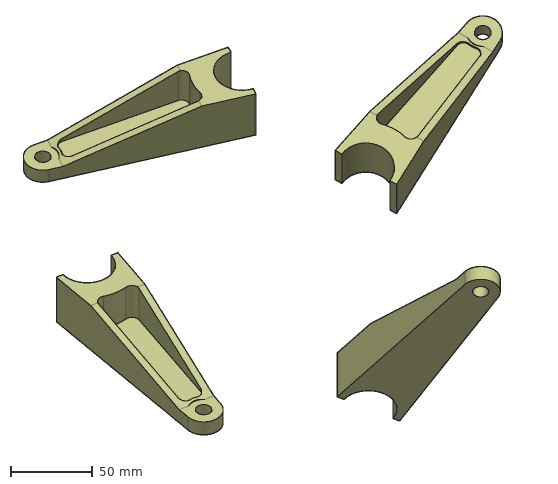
import cadquery as cq
import math

height = 35.0
lug_height = 10.3
lug_radius = 12.0
lug_hole_diameter = 10.0
saddle_bore_radius = 17.5
end_width = 44.88
part_length = 144.5
head_center_y = 0.8
slope_start = 35.0
slope_end = 124.3
wall = 5.0
pocket_floor = 10.0
pocket_saddle_wall = 15.0
pocket_lug_radius = 12.0
pocket_fillet = 5.0
lug_clearance_radius = 10.0

head_radius = math.hypot(end_width / 2, head_center_y)
lug_y = lug_radius - part_length
taper = math.asin((head_radius - lug_radius) / (head_center_y - lug_y))


def side_point(radius, center_y):
    """Point where the +X tapered side touches a circle on the part centreline."""
    return radius * math.cos(taper), center_y - radius * math.sin(taper)


def disc(radius, center_y, base=0.0):
    """Upright cylinder on the part centreline, from the base height up to the full height."""
    return cq.Workplane("XY", origin=(0, center_y, base)).circle(radius).extrude(height - base)


def tapered_prism(inset, base):
    """Straight-sided arm between the two round ends, inset from its sides."""
    wide_x, wide_y = side_point(head_radius - inset, head_center_y)
    narrow_x, narrow_y = side_point(lug_radius - inset, lug_y)
    outline = [(-wide_x, wide_y), (wide_x, wide_y), (narrow_x, narrow_y), (-narrow_x, narrow_y)]
    return cq.Workplane("XY", origin=(0, 0, base)).polyline(outline).close().extrude(height - base)


def make_arm():
    """Tapered arm with a sloped top that drops from the head to the lug."""
    body = tapered_prism(0, 0).union(disc(head_radius, head_center_y)).union(disc(lug_radius, lug_y))
    far_y = lug_y - lug_radius
    profile = [
        (0, 0),
        (0, height),
        (-slope_start, height),
        (-slope_end, lug_height),
        (far_y, lug_height),
        (far_y, 0),
    ]
    side = cq.Workplane("YZ").polyline(profile).close().extrude(head_radius, both=True)
    return body.intersect(side)


def make_pocket():
    """Blind pocket bounded by arcs around the saddle bore and the lug hole."""
    pocket = tapered_prism(wall, pocket_floor)
    pocket = pocket.cut(disc(saddle_bore_radius + pocket_saddle_wall, 0))
    pocket = pocket.cut(disc(pocket_lug_radius, lug_y))
    return pocket.edges("|Z").fillet(pocket_fillet)


result = make_arm()
result = result.cut(disc(saddle_bore_radius, 0))
result = result.cut(make_pocket())
result = result.cut(disc(lug_hole_diameter / 2, lug_y))
result = result.cut(disc(lug_clearance_radius, lug_y, lug_height))